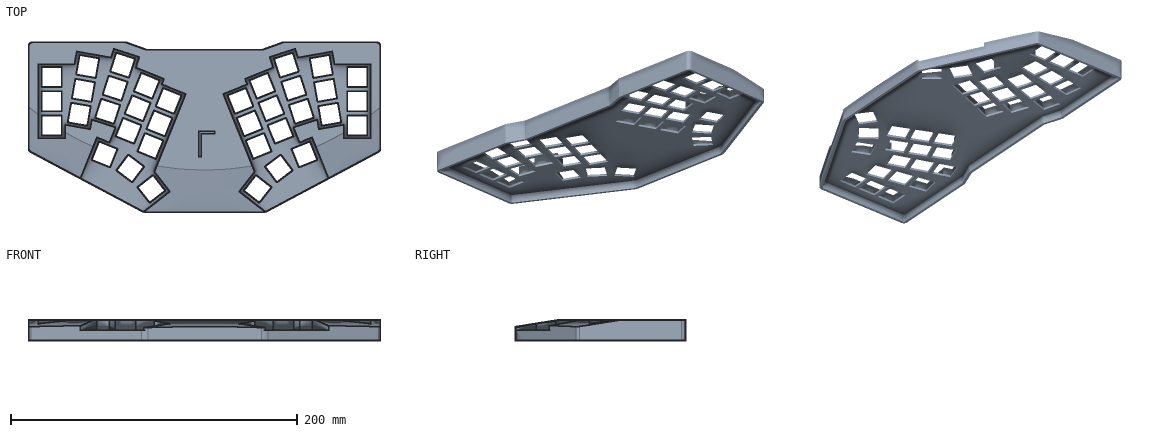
import cadquery as cq
import math

CASE_HEIGHT = 14.5
SIDE_X = 123.0
BACK_Y = 59.5
FRONT_Y = -59.5
BACK_STEP_OUTER_X = 55.0
BACK_STEP_INNER_X = 40.8
BACK_RECESS_Y = 54.3
SIDE_FRONT_Y = -16.5
FRONT_CORNER_X = 42.0
SIDE_CORNER_RADIUS = 3.0
FRONT_CORNER_RADIUS = 9.3

CREASE_RADIUS = 193.2
CREASE_FRONT_Y = -29.7
SLOPE_ANGLE = 9.0

PLATE_TOP_Z = 7.4
PLATE_THICKNESS = 1.5
WALL_THICKNESS = 2.0

HOLE_SIZE = 13.8
CELL_WIDTH = 18.7
CELL_HEIGHT = 18.0
KEY_PITCH = 17.0
COLUMN_ROWS = 3

PINKY = (-106.7, 18.2, 0.0, COLUMN_ROWS)
RING = (-84.5, 25.8, 10.0, COLUMN_ROWS)
MIDDLE = (-62.5, 27.3, 18.0, COLUMN_ROWS)
INDEX = (-46.7, 13.3, 22.0, COLUMN_ROWS)
INNER = (-31.5, 2.7, 22.0, COLUMN_ROWS)
THUMB_OUTER = (-69.8, -19.0, 22.0, 1)
THUMB_MIDDLE = (-51.9, -28.8, 37.0, 1)
THUMB_INNER = (-37.0, -43.0, 52.0, 1)
KEY_GROUPS = [PINKY, RING, MIDDLE, INDEX, INNER, THUMB_OUTER, THUMB_MIDDLE, THUMB_INNER]

GROOVE_LEFT_X = -4.2
GROOVE_RIGHT_X = 7.1
GROOVE_BACK_Y = -2.7
GROOVE_FRONT_Y = -20.6
GROOVE_WIDTH = 2.0
GROOVE_DEPTH = 1.0

OVERCUT = 5.0


def group_axes(group):
    """Unit vectors pointing right and back in a turned key group."""
    _, _, turn_degrees, _ = group
    turn = math.radians(turn_degrees)
    right = (math.cos(turn), -math.sin(turn))
    back = (math.sin(turn), math.cos(turn))
    return right, back


def offset(point, direction, distance):
    """Point moved a distance along a direction."""
    return (point[0] + direction[0] * distance, point[1] + direction[1] * distance)


def group_side(group, side):
    """One side line of a key group's cells, as a point and a direction."""
    x, y, _, rows = group
    centre = (x, y)
    right, back = group_axes(group)
    half_width = CELL_WIDTH / 2
    half_length = ((rows - 1) * KEY_PITCH + CELL_HEIGHT) / 2
    sides = {
        "left": (offset(centre, right, -half_width), back),
        "right": (offset(centre, right, half_width), back),
        "back": (offset(centre, back, half_length), right),
        "front": (offset(centre, back, -half_length), right),
    }
    return sides[side]


def crossing(line_a, line_b):
    """Point where two lines meet."""
    (ax, ay), (adx, ady) = line_a
    (bx, by), (bdx, bdy) = line_b
    distance = ((bx - ax) * bdy - (by - ay) * bdx) / (adx * bdy - ady * bdx)
    return offset((ax, ay), (adx, ady), distance)


def make_outline_block():
    """Full-height case with its side and front corners rounded."""
    left = [
        (-BACK_STEP_INNER_X, BACK_RECESS_Y),
        (-BACK_STEP_OUTER_X, BACK_Y),
        (-SIDE_X, BACK_Y),
        (-SIDE_X, SIDE_FRONT_Y),
        (-FRONT_CORNER_X, FRONT_Y),
    ]
    right = [(-x, y) for x, y in reversed(left)]
    block = cq.Workplane("XY").polyline(left + right).close().extrude(CASE_HEIGHT)
    block = block.edges("|Z").edges("<X or >X").fillet(SIDE_CORNER_RADIUS)
    return block.edges("|Z").edges("<Y").fillet(FRONT_CORNER_RADIUS)


def make_cavity(block):
    """Hollow that follows the case outline and opens through the underside."""
    ceiling = PLATE_TOP_Z - PLATE_THICKNESS
    footprint = block.faces("<Z").wires().val()
    cavity = cq.Workplane("XY").add(footprint).toPending().offset2D(-WALL_THICKNESS)
    return cavity.extrude(ceiling, combine=False)


def make_slope_cutter():
    """Everything in front of the arc, swept forward and down along the slope."""
    end_x = SIDE_X + OVERCUT
    end_y = CREASE_FRONT_Y + CREASE_RADIUS - math.sqrt(CREASE_RADIUS**2 - end_x**2)
    reach = BACK_Y - FRONT_Y
    region = (
        cq.Workplane("XY", origin=(0, 0, CASE_HEIGHT))
        .moveTo(-end_x, end_y)
        .threePointArc((0, CREASE_FRONT_Y), (end_x, end_y))
        .lineTo(end_x, FRONT_Y - reach)
        .lineTo(-end_x, FRONT_Y - reach)
        .close()
    )
    sweep = cq.Vector(0, -reach, -reach * math.tan(math.radians(SLOPE_ANGLE)))
    return cq.Workplane(cq.Solid.extrudeLinear(region.wire().val(), [], sweep))


def make_key_pocket():
    """Pocket around the left keys, open through the slanted front wall."""
    slant = (SIDE_X - FRONT_CORNER_X, FRONT_Y - SIDE_FRONT_Y)
    beyond_front_wall = ((-SIDE_X, SIDE_FRONT_Y - OVERCUT), slant)
    sides = [
        group_side(PINKY, "left"),
        group_side(PINKY, "back"),
        group_side(RING, "left"),
        group_side(RING, "back"),
        group_side(MIDDLE, "left"),
        group_side(MIDDLE, "back"),
        group_side(MIDDLE, "right"),
        group_side(INDEX, "back"),
        group_side(INDEX, "right"),
        group_side(INNER, "back"),
        group_side(INNER, "right"),
        group_side(THUMB_INNER, "back"),
        group_side(THUMB_INNER, "right"),
        beyond_front_wall,
        group_side(THUMB_OUTER, "left"),
        group_side(THUMB_OUTER, "back"),
        group_side(INDEX, "left"),
        group_side(MIDDLE, "front"),
        group_side(RING, "right"),
        group_side(RING, "front"),
        group_side(PINKY, "right"),
        group_side(PINKY, "front"),
    ]
    corners = [crossing(side, sides[i - 1]) for i, side in enumerate(sides)]
    pocket = cq.Workplane("XY", origin=(0, 0, PLATE_TOP_Z)).polyline(corners).close()
    return pocket.extrude(CASE_HEIGHT - PLATE_TOP_Z)


def make_key_holes():
    """Square holes through the key plate of the left half."""
    holes = cq.Workplane("XY")
    for group in KEY_GROUPS:
        x, y, turn_degrees, rows = group
        _, back = group_axes(group)
        for row in range(rows):
            step = (row - (rows - 1) / 2) * KEY_PITCH
            hole_x, hole_y = offset((x, y), back, step)
            hole = cq.Workplane("XY").rect(HOLE_SIZE, HOLE_SIZE).extrude(CASE_HEIGHT)
            hole = hole.rotate((0, 0, 0), (0, 0, 1), -turn_degrees)
            holes = holes.add(hole.translate((hole_x, hole_y, 0)))
    return holes.combine()


def make_groove():
    return (
        cq.Workplane("XY", origin=(0, 0, CASE_HEIGHT - GROOVE_DEPTH))
        .moveTo(GROOVE_LEFT_X, GROOVE_FRONT_Y)
        .lineTo(GROOVE_LEFT_X, GROOVE_BACK_Y)
        .lineTo(GROOVE_RIGHT_X, GROOVE_BACK_Y)
        .lineTo(GROOVE_RIGHT_X, GROOVE_BACK_Y - GROOVE_WIDTH)
        .lineTo(GROOVE_LEFT_X + GROOVE_WIDTH, GROOVE_BACK_Y - GROOVE_WIDTH)
        .lineTo(GROOVE_LEFT_X + GROOVE_WIDTH, GROOVE_FRONT_Y)
        .close()
        .extrude(GROOVE_DEPTH)
    )


block = make_outline_block()
result = block.cut(make_cavity(block)).cut(make_slope_cutter())
for left_cutter in (make_key_pocket(), make_key_holes()):
    result = result.cut(left_cutter).cut(left_cutter.mirror("YZ"))
result = result.cut(make_groove())